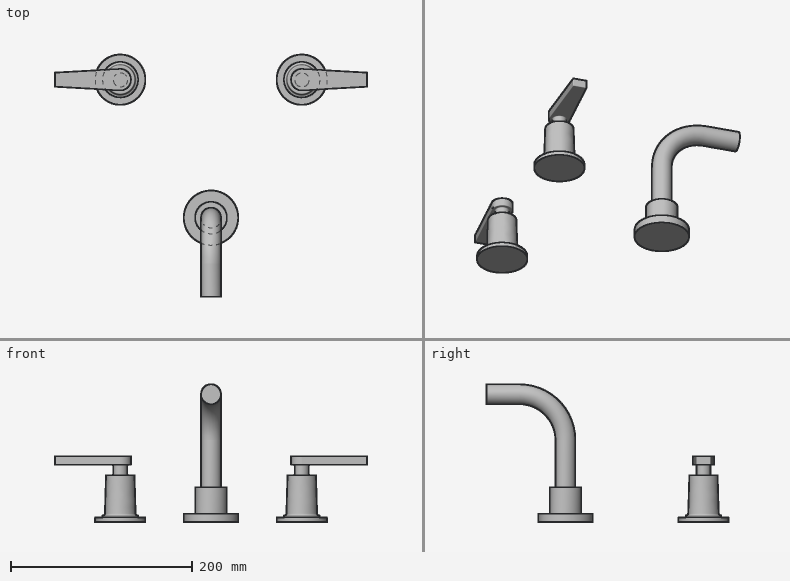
import cadquery as cq
import math


overall_width = 344.81
handle_offset = 100.2
handle_setback = 152.4

spout_height = 152.34
tube_radius = 11.1
bend_radius = 50.8
spout_reach = 87.42
spout_base_radius = 30.2
spout_base_height = 9.5
collar_radius = 17.6
collar_top = 38.6

flange_radius = 27.9
flange_height = 5.2
flange_round = 0.8
foot_radius = 19.7
foot_top = 7.6
foot_round = 0.9
cove_radius = 1.7
body_bottom_radius = 17.1
body_top_radius = 15.85
body_top = 51.9
body_round = 0.8
neck_radius = 7.8
neck_fillet = 0.7

lever_bottom = 63.2
lever_top = 73.0
neck_length = lever_bottom - body_top
lever_hub_radius = 11.9
lever_tip_distance = overall_width / 2 - handle_offset
lever_tip_width = 15.8
lever_tip_round = 0.8
lever_round = 0.7


def make_spout():
    """Base disc, collar and a tube that bends forward to a level outlet."""
    base = cq.Workplane("XY").circle(spout_base_radius).extrude(spout_base_height)
    collar = cq.Workplane("XY").circle(collar_radius).extrude(collar_top)

    outlet_height = spout_height - tube_radius
    bend_start = outlet_height - bend_radius
    bend_diagonal = bend_radius * math.sqrt(0.5)
    path = (
        cq.Workplane("YZ")
        .lineTo(0, bend_start)
        .threePointArc(
            (bend_diagonal - bend_radius, bend_start + bend_diagonal),
            (-bend_radius, outlet_height),
        )
        .lineTo(-spout_reach, outlet_height)
    )
    tube = cq.Workplane("XY").circle(tube_radius).sweep(path)
    return base.union(collar).union(tube)


def make_pedestal():
    """Turned flange, foot and tapered body about the handle axis."""
    flange = cq.Workplane("XY").circle(flange_radius).extrude(flange_height)
    flange = flange.faces(">Z").edges().fillet(flange_round)
    foot = cq.Workplane("XY").circle(foot_radius).extrude(foot_top)
    foot = foot.faces(">Z").edges().fillet(foot_round)

    body_bottom = foot_top + cove_radius
    cove_edge = body_bottom_radius + cove_radius
    cove_middle = cove_radius * (1 - math.sqrt(0.5))
    body = (
        cq.Workplane("XZ")
        .lineTo(cove_edge, 0)
        .lineTo(cove_edge, foot_top)
        .threePointArc(
            (body_bottom_radius + cove_middle, foot_top + cove_middle),
            (body_bottom_radius, body_bottom),
        )
        .lineTo(body_top_radius, body_top)
        .lineTo(0, body_top)
        .close()
        .revolve(360, (0, 0, 0), (0, 1, 0))
    )
    body = body.faces(">Z").edges().fillet(body_round)
    return flange.union(foot).union(body)


def make_neck():
    """Round neck between the body and the lever, flared by a small fillet at each end."""
    flare_radius = neck_radius + neck_fillet
    fillet_middle = neck_fillet * (1 - math.sqrt(0.5))
    return (
        cq.Workplane("XZ", origin=(0, 0, body_top))
        .lineTo(flare_radius, 0)
        .threePointArc(
            (neck_radius + fillet_middle, fillet_middle),
            (neck_radius, neck_fillet),
        )
        .lineTo(neck_radius, neck_length - neck_fillet)
        .threePointArc(
            (neck_radius + fillet_middle, neck_length - fillet_middle),
            (flare_radius, neck_length),
        )
        .lineTo(0, neck_length)
        .close()
        .revolve(360, (0, 0, 0), (0, 1, 0))
    )


def make_lever():
    """Flat lever along +X that narrows from a round hub to a square tip."""
    half_tip = lever_tip_width / 2
    lever = (
        cq.Workplane("XY", origin=(0, 0, lever_bottom))
        .moveTo(0, lever_hub_radius)
        .threePointArc((-lever_hub_radius, 0), (0, -lever_hub_radius))
        .lineTo(lever_tip_distance, -half_tip)
        .lineTo(lever_tip_distance, half_tip)
        .close()
        .extrude(lever_top - lever_bottom)
    )
    lever = lever.faces(">X").edges("|Z").fillet(lever_tip_round)
    return lever.faces("<Z or >Z").edges().fillet(lever_round)


def make_handle(side):
    """One handle, its lever pointing outward; side is -1 for left and 1 for right."""
    turn = 0 if side > 0 else 180
    handle = make_pedestal().union(make_neck()).union(make_lever())
    handle = handle.rotate((0, 0, 0), (0, 0, 1), turn)
    return handle.translate((side * handle_offset, handle_setback, 0))


spout = make_spout()
handles = [make_handle(side) for side in (-1, 1)]

result = cq.Compound.makeCompound([spout.val(), *[handle.val() for handle in handles]])